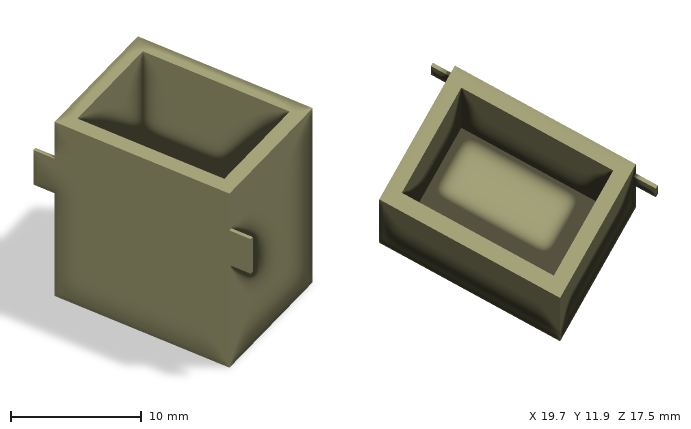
import cadquery as cq

body_width = 15.85
body_depth = 11.94
body_height = 17.53

wall = 1.27
rear_wall = 1.29
floor_thickness = wall

tab_span = 19.71
tab_thickness = 0.3
tab_height = 3.48
tab_top_drop = 3.71


def make_box(width, depth, height, front_y, bottom_z):
    """Box centred on X, starting at the given front and bottom planes."""
    return (
        cq.Workplane("XY")
        .box(width, depth, height, centered=(True, False, False))
        .translate((0, front_y, bottom_z))
    )


def make_body():
    """Solid block with its front face on Y = 0 and its base on Z = 0."""
    return make_box(body_width, body_depth, body_height, 0, 0)


def make_tabs():
    """Strip across the front wall, sticking out of both sides as tabs."""
    tab_bottom_z = body_height - tab_top_drop - tab_height
    return make_box(tab_span, tab_thickness, tab_height, 0, tab_bottom_z)


def make_cavity():
    """Rectangular pocket open at the top."""
    cavity_width = body_width - 2 * wall
    cavity_depth = body_depth - wall - rear_wall
    cavity_height = body_height - floor_thickness
    return make_box(cavity_width, cavity_depth, cavity_height, wall, floor_thickness)


result = make_body().union(make_tabs()).cut(make_cavity())